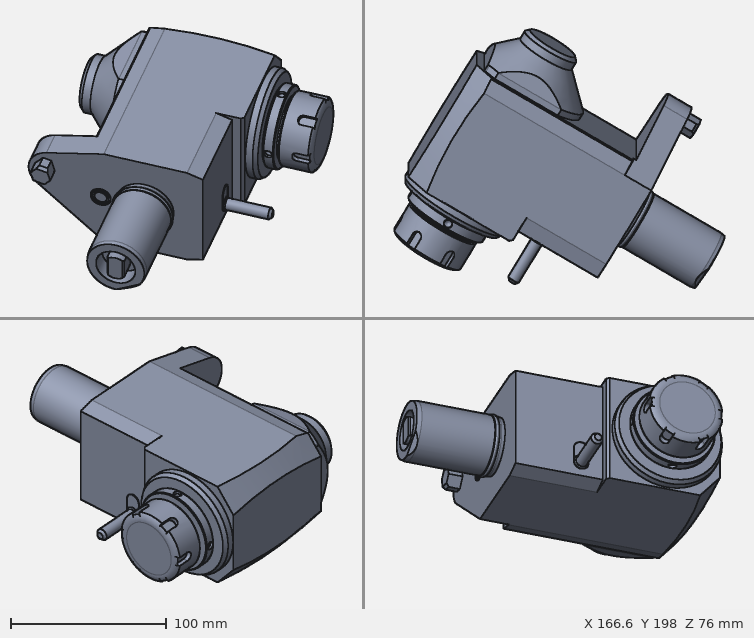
import cadquery as cq
import math


HALF_HEIGHT = 38.0
BODY_LEFT = -38.8
BODY_RIGHT = 47.0
BODY_END = 137.0
SPINDLE_Y = 100.0
SIDE_TAPER = math.radians(15)
LEFT_EDGE_CHAMFER = 0.8
FOOT_RIGHT = 39.2
FLAT_HALF_WIDTH = 28.2
FOOT_END = 59.7
HEAD_CHAMFER = 1.8
LUG_CLEARANCE_DEPTH = 19.8

BEVEL_AXIS_X = 4.0
BEVEL_RADIUS = 240.0
BEVEL_DEPTH = 9.7
BEVEL_SLOPE = 0.82

LUG_X = -63.0
LUG_Z = 12.4
LUG_RADIUS = 16.0
LUG_THICKNESS = 17.6

BOLT_X = -67.8
BOLT_Z = 15.2
BOLT_HALF_CORNERS = [(-6.7, 1.5), (-1.3, 7.8), (4.3, 6.8)]
BOLT_HEIGHT = 9.6
BOLT_BEVEL = 2.0

SEAL_X = -30.0
SEAL_OUTER = 6.8
SEAL_INNER = 4.3
SEAL_GROOVE = 5.6
SEAL_HEIGHT = 0.5

SHANK_RADIUS = 20.0
SHANK_LENGTH = 60.2
SHANK_TIP_LENGTH = 3.0
SHANK_TIP_STEP = 0.6
NECK_RADIUS = 19.4
NECK_LENGTH = 2.6
LAND_RADIUS = 19.8
GROOVE_END = 7.0
ORING_Y = 5.1
ORING_SECTION = 1.6
ORING_STANDOUT = 0.6
FLAT_DISTANCE = 16.9
FLAT_ANGLE = -60.0
RECESS_RADIUS = 13.3
RECESS_DEPTH = 12.0

TANG_END = 61.0
TANG_WIDTH = 11.6
TANG_RADIUS = 8.9
TANG_CHAMFER = 1.2

CAP_RADIUS = 40.2
CAP_RIM_X = -43.3
CAP_HUB_RADIUS = 19.4
CAP_HUB_X = -63.8
CAP_END_X = -72.0
CAP_HUB_CHAMFER = 2.5
CAP_FLAT_Z = 32.5
CAP_FLAT_Y = 131.2
CAP_CORNER_Y = 123.5
CAP_CORNER_Z = 25.6

FLANGE_RADIUS = 36.7
FLANGE_END = 54.8
FLANGE_CHAMFER_X = 51.8
FLANGE_CHAMFER = 1.8
COLLAR_START = 55.8
COLLAR_END = 63.1
COLLAR_RADIUS = 28.0
COLLAR_CHAMFER = 0.6
COLLAR_HOLE_RADIUS = 2.7
COLLAR_HOLE_DEPTH = 2.0
COLLAR_HOLE_POINT = 1.6
COLLAR_HOLE_COUNT = 4
GAP_RADIUS = 26.0
NECK_NOSE_RADIUS = 21.5
NUT_START = 65.0
NUT_RADIUS = 25.0
NUT_CHAMFER = 0.9
NUT_DOME_START = 85.4
NUT_END = 87.52
NUT_FACE_RADIUS = 19.0
NUT_DOME_MID = (87.0, 22.8)
NUT_SLOT_COUNT = 6
NUT_SLOT_WIDTH = 6.6
NUT_SLOT_START = 74.7
NUT_SLOT_END = 86.4
NUT_SLOT_FLOOR = 21.5

PIN_Y = 44.8
PIN_Z = -25.0
PIN_RADIUS = 4.0
PIN_END = 71.7
PIN_TIP_LENGTH = 2.0
PIN_TIP_RADIUS = 2.4
PAD_RADIUS = 5.0
PAD_TOP_Z = -15.0
PAD_HEIGHT = 0.5
PIN_FOOT_HEIGHT = 1.4


def tangent_point(px, pz, cx, cz, radius, side):
    """Point where the line from (px, pz) touches a circle; side is +1 or -1."""
    distance = math.hypot(px - cx, pz - cz)
    angle = math.atan2(pz - cz, px - cx) + side * math.acos(radius / distance)
    return cx + radius * math.cos(angle), cz + radius * math.sin(angle)


def extrude_y(sketch_points, y_start, y_end):
    """Prism of an XZ outline between two Y positions."""
    plane = cq.Plane(origin=(0, y_start, 0), xDir=(1, 0, 0), normal=(0, -1, 0))
    return cq.Workplane(plane).polyline(sketch_points).close().extrude(y_start - y_end)


def spindle_turned(profile):
    """Turn a closed (X, radius) sketch about the spindle axis."""
    return profile.close().revolve(360, (0, 0, 0), (1, 0, 0)).translate((0, SPINDLE_Y, 0))


LUG_UPPER = tangent_point(-FLAT_HALF_WIDTH, HALF_HEIGHT, LUG_X, LUG_Z, LUG_RADIUS, 1)
LUG_LOWER = tangent_point(-FLAT_HALF_WIDTH, -HALF_HEIGHT, LUG_X, LUG_Z, LUG_RADIUS, -1)
LUG_SLOPE = (HALF_HEIGHT - LUG_UPPER[1]) / (-FLAT_HALF_WIDTH - LUG_UPPER[0])


def make_housing():
    left_edge_z = HALF_HEIGHT + (BODY_LEFT + FLAT_HALF_WIDTH) * LUG_SLOPE
    foot_edge_z = HALF_HEIGHT - (FOOT_RIGHT - FLAT_HALF_WIDTH) * math.tan(SIDE_TAPER)
    shoulder_x = BODY_LEFT + LEFT_EDGE_CHAMFER
    shoulder_z = left_edge_z + LEFT_EDGE_CHAMFER * LUG_SLOPE
    left_side = [
        (-FLAT_HALF_WIDTH, HALF_HEIGHT),
        (shoulder_x, shoulder_z),
        (BODY_LEFT, shoulder_z - LEFT_EDGE_CHAMFER),
        (BODY_LEFT, LEFT_EDGE_CHAMFER - shoulder_z),
        (shoulder_x, -shoulder_z),
        (-FLAT_HALF_WIDTH, -HALF_HEIGHT),
    ]
    foot_side = [
        (FLAT_HALF_WIDTH, -HALF_HEIGHT),
        (FOOT_RIGHT, -foot_edge_z),
        (FOOT_RIGHT, foot_edge_z),
        (FLAT_HALF_WIDTH, HALF_HEIGHT),
    ]
    head_side = [(BODY_RIGHT, -HALF_HEIGHT), (BODY_RIGHT, HALF_HEIGHT)]
    foot = extrude_y(left_side + foot_side, 0, FOOT_END)
    head = extrude_y(left_side + head_side, FOOT_END, BODY_END)
    head = head.edges(cq.selectors.NearestToPointSelector((BODY_RIGHT, FOOT_END, 0))).chamfer(HEAD_CHAMFER)
    housing = foot.union(head)

    waist_radius = BEVEL_RADIUS + HALF_HEIGHT * BEVEL_SLOPE
    bevel = (
        cq.Workplane("XZ")
        .polyline([
            (0, -HALF_HEIGHT),
            (BEVEL_RADIUS, -HALF_HEIGHT),
            (waist_radius, 0),
            (BEVEL_RADIUS, HALF_HEIGHT),
            (0, HALF_HEIGHT),
        ])
        .close()
        .revolve(360, (0, 0, 0), (0, 1, 0))
        .translate((BEVEL_AXIS_X, BODY_END - BEVEL_DEPTH - BEVEL_RADIUS, 0))
    )
    housing = housing.intersect(bevel)

    lug_clearance = [
        (-FLAT_HALF_WIDTH, -HALF_HEIGHT),
        LUG_LOWER,
        (LUG_LOWER[0], -HALF_HEIGHT),
    ]
    return housing.cut(extrude_y(lug_clearance, 0, LUG_CLEARANCE_DEPTH))


def make_lug():
    return (
        cq.Workplane("XZ")
        .moveTo(-FLAT_HALF_WIDTH, HALF_HEIGHT)
        .lineTo(*LUG_UPPER)
        .threePointArc((LUG_X - LUG_RADIUS, LUG_Z), LUG_LOWER)
        .lineTo(-FLAT_HALF_WIDTH, -HALF_HEIGHT)
        .close()
        .extrude(-LUG_THICKNESS)
    )


def make_bolt_head():
    corners = BOLT_HALF_CORNERS + [(-x, -z) for x, z in BOLT_HALF_CORNERS]
    head = cq.Workplane("XZ").polyline(corners).close().extrude(BOLT_HEIGHT)
    (x1, z1), (x2, z2) = BOLT_HALF_CORNERS[1:]
    for side in (1, -1):
        middle = (side * (x1 + x2) / 2, -BOLT_HEIGHT, side * (z1 + z2) / 2)
        head = head.edges(cq.selectors.NearestToPointSelector(middle)).chamfer(BOLT_BEVEL)
    return head.translate((BOLT_X, 0, BOLT_Z))


def make_seal():
    def ring(outer, inner, height):
        return cq.Workplane("XZ", origin=(SEAL_X, 0, 0)).circle(outer).circle(inner).extrude(height)

    return ring(SEAL_OUTER, SEAL_GROOVE, SEAL_HEIGHT / 2).union(ring(SEAL_GROOVE, SEAL_INNER, SEAL_HEIGHT))


def make_shank():
    shank = (
        cq.Workplane("XY")
        .polyline([
            (0, 0),
            (NECK_RADIUS, 0),
            (LAND_RADIUS, -NECK_LENGTH),
            (LAND_RADIUS, -GROOVE_END),
            (SHANK_RADIUS, -GROOVE_END),
            (SHANK_RADIUS, -(SHANK_LENGTH - SHANK_TIP_LENGTH)),
            (SHANK_RADIUS - SHANK_TIP_STEP, -SHANK_LENGTH),
            (0, -SHANK_LENGTH),
        ])
        .close()
        .revolve(360, (0, 0, 0), (0, 1, 0))
    )
    oring_radius = SHANK_RADIUS + ORING_STANDOUT - ORING_SECTION
    oring = (
        cq.Workplane("XY")
        .moveTo(oring_radius, -ORING_Y)
        .circle(ORING_SECTION)
        .revolve(360, (0, 0, 0), (0, 1, 0))
    )
    flat_depth = SHANK_RADIUS - FLAT_DISTANCE
    flat_cut = (
        cq.Workplane("XY")
        .polyline([
            (FLAT_DISTANCE, -SHANK_LENGTH),
            (SHANK_RADIUS, flat_depth - SHANK_LENGTH),
            (SHANK_RADIUS, -SHANK_LENGTH),
        ])
        .close()
        .extrude(SHANK_RADIUS, both=True)
        .rotate((0, 0, 0), (0, 1, 0), -FLAT_ANGLE)
    )
    recess = (
        cq.Workplane("XZ", origin=(0, -SHANK_LENGTH, 0))
        .circle(RECESS_RADIUS)
        .extrude(-RECESS_DEPTH)
    )
    return shank.union(oring).cut(flat_cut).cut(recess).union(make_tang())


def make_tang():
    root = SHANK_LENGTH - RECESS_DEPTH
    length = TANG_END - root
    rod = cq.Workplane("XZ", origin=(0, -root, 0)).circle(TANG_RADIUS).extrude(length)
    blade = (
        cq.Workplane("XZ", origin=(0, -root, 0))
        .rect(TANG_WIDTH, 2 * TANG_RADIUS)
        .extrude(length)
        .faces("<Y")
        .edges("|Z")
        .chamfer(TANG_CHAMFER)
    )
    return rod.intersect(blade)


def make_cap():
    turned = spindle_turned(
        cq.Workplane("XY")
        .moveTo(BODY_LEFT, 0)
        .lineTo(BODY_LEFT, CAP_RADIUS)
        .lineTo(CAP_RIM_X, CAP_RADIUS)
        .lineTo(CAP_HUB_X, CAP_HUB_RADIUS)
        .lineTo(CAP_END_X + CAP_HUB_CHAMFER, CAP_HUB_RADIUS)
        .lineTo(CAP_END_X, CAP_HUB_RADIUS - CAP_HUB_CHAMFER)
        .lineTo(CAP_END_X, 0)
    )
    near_y = SPINDLE_Y - CAP_RADIUS
    end_view = [
        (near_y, CAP_FLAT_Z),
        (CAP_CORNER_Y, CAP_FLAT_Z),
        (CAP_FLAT_Y, CAP_CORNER_Z),
        (CAP_FLAT_Y, -CAP_CORNER_Z),
        (CAP_CORNER_Y, -CAP_FLAT_Z),
        (near_y, -CAP_FLAT_Z),
    ]
    end_envelope = (
        cq.Workplane("YZ", origin=(CAP_END_X, 0, 0))
        .polyline(end_view)
        .close()
        .extrude(BODY_LEFT - CAP_END_X)
    )
    end_z = CAP_FLAT_Z - (CAP_RIM_X - CAP_END_X) * math.tan(SIDE_TAPER)
    side_view = [
        (BODY_LEFT, CAP_FLAT_Z),
        (CAP_RIM_X, CAP_FLAT_Z),
        (CAP_END_X, end_z),
        (CAP_END_X, -end_z),
        (CAP_RIM_X, -CAP_FLAT_Z),
        (BODY_LEFT, -CAP_FLAT_Z),
    ]
    side_envelope = extrude_y(side_view, near_y, CAP_FLAT_Y)
    return turned.intersect(end_envelope).intersect(side_envelope)


def make_nose():
    nose = spindle_turned(
        cq.Workplane("XY")
        .moveTo(BODY_RIGHT, 0)
        .lineTo(BODY_RIGHT, FLANGE_RADIUS)
        .lineTo(FLANGE_CHAMFER_X, FLANGE_RADIUS)
        .lineTo(FLANGE_END, FLANGE_RADIUS - FLANGE_CHAMFER)
        .lineTo(FLANGE_END, GAP_RADIUS)
        .lineTo(COLLAR_START, GAP_RADIUS)
        .lineTo(COLLAR_START, COLLAR_RADIUS - COLLAR_CHAMFER)
        .lineTo(COLLAR_START + COLLAR_CHAMFER, COLLAR_RADIUS)
        .lineTo(COLLAR_END - COLLAR_CHAMFER, COLLAR_RADIUS)
        .lineTo(COLLAR_END, COLLAR_RADIUS - COLLAR_CHAMFER)
        .lineTo(COLLAR_END, NECK_NOSE_RADIUS)
        .lineTo(NUT_START, NECK_NOSE_RADIUS)
        .lineTo(NUT_START, NUT_RADIUS - NUT_CHAMFER)
        .lineTo(NUT_START + NUT_CHAMFER, NUT_RADIUS)
        .lineTo(NUT_DOME_START, NUT_RADIUS)
        .threePointArc(NUT_DOME_MID, (NUT_END, NUT_FACE_RADIUS))
        .lineTo(NUT_END, 0)
    )
    hole_x = (COLLAR_START + COLLAR_END) / 2
    hole_shoulder = COLLAR_RADIUS - COLLAR_HOLE_DEPTH
    collar_hole = (
        cq.Workplane("XZ")
        .polyline([
            (0, COLLAR_RADIUS),
            (COLLAR_HOLE_RADIUS, COLLAR_RADIUS),
            (COLLAR_HOLE_RADIUS, hole_shoulder),
            (0, hole_shoulder - COLLAR_HOLE_POINT),
        ])
        .close()
        .revolve(360, (0, 0, 0), (0, 1, 0))
        .translate((hole_x, SPINDLE_Y, 0))
    )
    slot_round = NUT_SLOT_WIDTH / 2
    slot_round_x = NUT_SLOT_START + slot_round
    nut_slot = (
        cq.Workplane("XY", origin=(0, SPINDLE_Y, NUT_SLOT_FLOOR))
        .moveTo(NUT_SLOT_END, slot_round)
        .lineTo(slot_round_x, slot_round)
        .threePointArc((NUT_SLOT_START, 0), (slot_round_x, -slot_round))
        .lineTo(NUT_SLOT_END, -slot_round)
        .close()
        .extrude(NUT_RADIUS)
    )
    nose = cut_around_spindle(nose, collar_hole, COLLAR_HOLE_COUNT, 0)
    return cut_around_spindle(nose, nut_slot, NUT_SLOT_COUNT, 180 / NUT_SLOT_COUNT)


def cut_around_spindle(target, cutter, count, first_angle):
    for index in range(count):
        angle = first_angle + index * 360 / count
        target = target.cut(cutter.rotate((0, SPINDLE_Y, 0), (1, SPINDLE_Y, 0), angle))
    return target


def make_pin():
    pad_end = FOOT_RIGHT + PAD_HEIGHT
    foot_end = FOOT_RIGHT + PIN_FOOT_HEIGHT
    pin = (
        cq.Workplane("XY")
        .polyline([
            (FOOT_RIGHT, 0),
            (FOOT_RIGHT, PAD_RADIUS),
            (pad_end, PAD_RADIUS),
            (foot_end, PIN_RADIUS),
            (PIN_END - PIN_TIP_LENGTH, PIN_RADIUS),
            (PIN_END, PIN_TIP_RADIUS),
            (PIN_END, 0),
        ])
        .close()
        .revolve(360, (0, 0, 0), (1, 0, 0))
        .translate((0, PIN_Y, PIN_Z))
    )
    pad = (
        cq.Workplane("YZ", origin=(FOOT_RIGHT, PIN_Y, (PIN_Z + PAD_TOP_Z) / 2))
        .slot2D(PAD_TOP_Z - PIN_Z + 2 * PAD_RADIUS, 2 * PAD_RADIUS, 90)
        .extrude(PAD_HEIGHT)
    )
    return pin.union(pad)


result = make_housing()
for piece in (
    make_lug(),
    make_bolt_head(),
    make_seal(),
    make_shank(),
    make_cap(),
    make_nose(),
    make_pin(),
):
    result = result.union(piece)